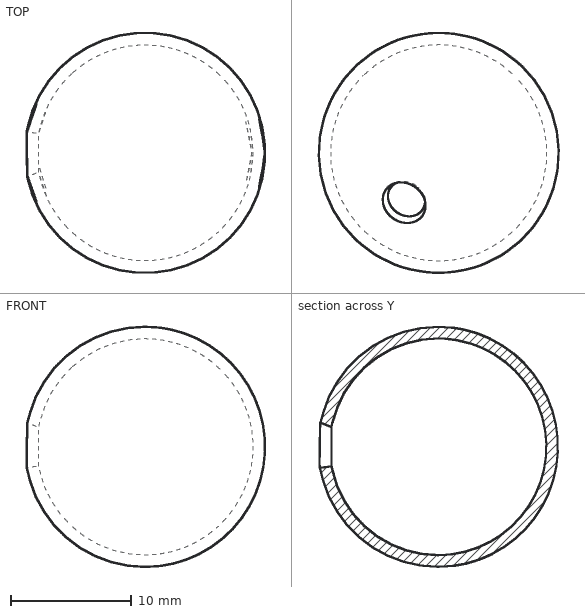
import cadquery as cq

outer_radius = 10
wall_thickness = 1
inner_radius = outer_radius - wall_thickness

throat_radius = 1.6
throat_x = -8.8
mouth_radius = 1.85
mouth_x = -9.8
mouth_shift_y = -0.12
mouth_shift_z = 0.15
overrun = 1.5


def hollow_ball():
    """Ball with a concentric cavity, leaving an even wall."""
    cavity = cq.Workplane("XY").sphere(inner_radius)
    return cq.Workplane("XY").sphere(outer_radius).cut(cavity)


def flared_hole():
    """Oblique cone from the throat, through the mouth and beyond the ball."""
    return (
        cq.Workplane("YZ", origin=(throat_x, 0, 0))
        .circle(throat_radius)
        .workplane(offset=overrun * (mouth_x - throat_x))
        .center(overrun * mouth_shift_y, overrun * mouth_shift_z)
        .circle(throat_radius + overrun * (mouth_radius - throat_radius))
        .loft(ruled=True)
    )


result = hollow_ball().cut(flared_hole())